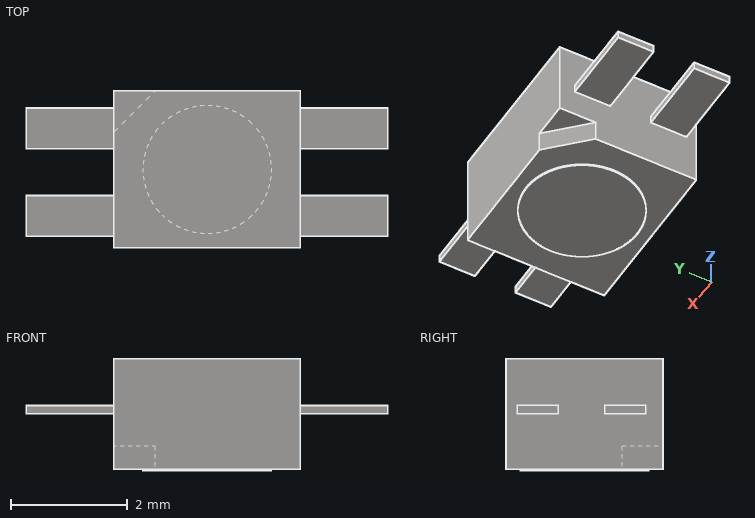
import cadquery as cq

overall_length = 6.2
body_length = 3.2
body_width = 2.7
body_height = 1.9

lead_width = 0.7
lead_thickness = 0.15
lead_pitch = 1.5
lead_row_offset = -0.05
lead_bottom = 0.95

pad_diameter = 2.2
pad_thickness = 0.025

corner_cut = 0.705
corner_cut_height = 0.4


def make_body():
    return cq.Workplane("XY").box(body_length, body_width, body_height, centered=(True, True, False))


def make_corner_cut():
    corner_x = -body_length / 2
    corner_y = body_width / 2
    return (
        cq.Workplane("XY")
        .moveTo(corner_x, corner_y)
        .lineTo(corner_x + corner_cut, corner_y)
        .lineTo(corner_x, corner_y - corner_cut)
        .close()
        .extrude(corner_cut_height)
    )


def make_pad():
    return cq.Workplane("XY").circle(pad_diameter / 2).extrude(-pad_thickness)


def make_leads():
    rows = [(0, lead_row_offset + side * lead_pitch / 2) for side in (-1, 1)]
    return (
        cq.Workplane("XY")
        .workplane(offset=lead_bottom)
        .pushPoints(rows)
        .rect(overall_length, lead_width)
        .extrude(lead_thickness)
    )


result = make_body().cut(make_corner_cut()).union(make_pad()).union(make_leads())